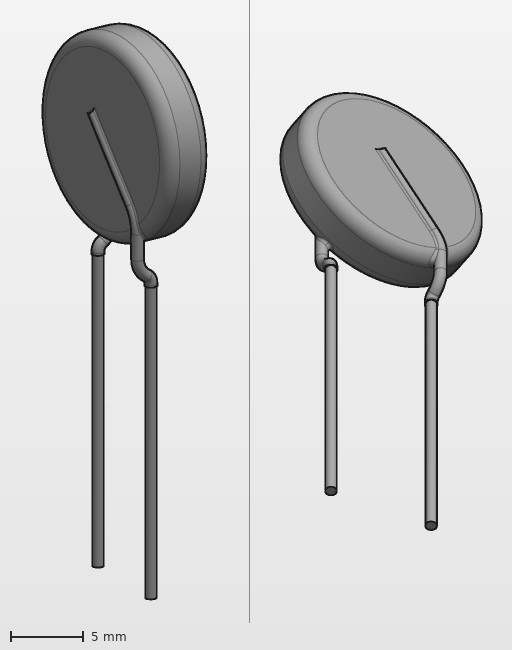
import cadquery as cq
import math

disc_diameter = 15.0
disc_thickness = 3.8
disc_edge_radius = 1.0

overall_depth = 4.3
overall_height = 40.01
lead_pitch = 7.5
leg_pitch = 1.1
coated_diameter = 0.9
bare_diameter = 0.8
foot_fillet_radius = 0.23

run_angle = 38.0
run_bend_radius = 3.0
run_bend_z = -5.8
run_tip_x = -1.2
kink_angle = 60.0
kink_top_z = -7.69
kink_upper_radius = 1.6
collar_length = 0.2

lead_x = lead_pitch / 2
run_y = -(overall_depth - coated_diameter) / 2
leg_y = -leg_pitch / 2
lead_tip_z = disc_diameter / 2 - overall_height


def make_disc():
    disc = cq.Workplane("XZ", origin=(0, disc_thickness / 2, 0))
    disc = disc.circle(disc_diameter / 2).extrude(disc_thickness)
    return disc.edges().fillet(disc_edge_radius)


def arc_offsets(angle_degrees, radius):
    """Middle and end of an arc as (sideways, along) distances from its tangent start."""
    angle = math.radians(angle_degrees)
    return [
        (radius * (1 - math.cos(turn)), radius * math.sin(turn))
        for turn in (angle / 2, angle)
    ]


def make_front_lead():
    """Lead on the -Y face: slanted run, bend, drop, inward kink, collar and bare leg."""
    middle, end = arc_offsets(run_angle, run_bend_radius)
    bend_bottom = cq.Vector(lead_x, run_y, run_bend_z)
    bend_middle = bend_bottom + cq.Vector(-middle[0], 0, middle[1])
    bend_top = bend_bottom + cq.Vector(-end[0], 0, end[1])
    run_rise = (bend_top.x - run_tip_x) / math.tan(math.radians(run_angle))
    run_tip = cq.Vector(run_tip_x, run_y, bend_top.z + run_rise)

    middle, end = arc_offsets(kink_angle, kink_upper_radius)
    kink_top = cq.Vector(lead_x, run_y, kink_top_z)
    upper_middle = kink_top + cq.Vector(0, middle[0], -middle[1])
    kink_joint = kink_top + cq.Vector(0, end[0], -end[1])

    kink_lower_radius = (leg_y - kink_joint.y) / (1 - math.cos(math.radians(kink_angle)))
    middle, end = arc_offsets(kink_angle, kink_lower_radius)
    kink_bottom = cq.Vector(lead_x, leg_y, kink_joint.z - end[1])
    lower_middle = kink_bottom + cq.Vector(0, -middle[0], middle[1])
    collar_end = kink_bottom - cq.Vector(0, 0, collar_length)

    path = cq.Wire.assembleEdges([
        cq.Edge.makeLine(run_tip, bend_top),
        cq.Edge.makeThreePointArc(bend_top, bend_middle, bend_bottom),
        cq.Edge.makeLine(bend_bottom, kink_top),
        cq.Edge.makeThreePointArc(kink_top, upper_middle, kink_joint),
        cq.Edge.makeThreePointArc(kink_joint, lower_middle, kink_bottom),
        cq.Edge.makeLine(kink_bottom, collar_end),
    ])
    section = cq.Plane(origin=run_tip, xDir=(0, 1, 0), normal=bend_top - run_tip)
    coated = cq.Workplane(section).circle(coated_diameter / 2).sweep(cq.Workplane(path))

    bare_leg = cq.Workplane("XY", origin=collar_end.toTuple()).circle(bare_diameter / 2)
    bare_leg = bare_leg.extrude(lead_tip_z - collar_end.z)
    return coated.union(bare_leg)


def fillet_foot(body, disc, leads):
    """Fillet the edges where the leads meet the disc surface."""
    contact = 1e-4
    skins = [skin for solid in (disc, *leads) for skin in solid.shells().vals()]
    disc_skin, lead_skins = skins[0], skins[1:]

    def is_foot(edge):
        middle = cq.Vertex.makeVertex(*edge.positionAt(0.5).toTuple())
        on_disc = middle.distance(disc_skin) < contact
        return on_disc and min(middle.distance(skin) for skin in lead_skins) < contact

    return body.edges().filter(is_foot).fillet(foot_fillet_radius)


disc = make_disc()
front_lead = make_front_lead()
back_lead = front_lead.rotate((0, 0, 0), (0, 0, 1), 180)
body = disc.union(front_lead).union(back_lead)
result = fillet_foot(body, disc, (front_lead, back_lead))